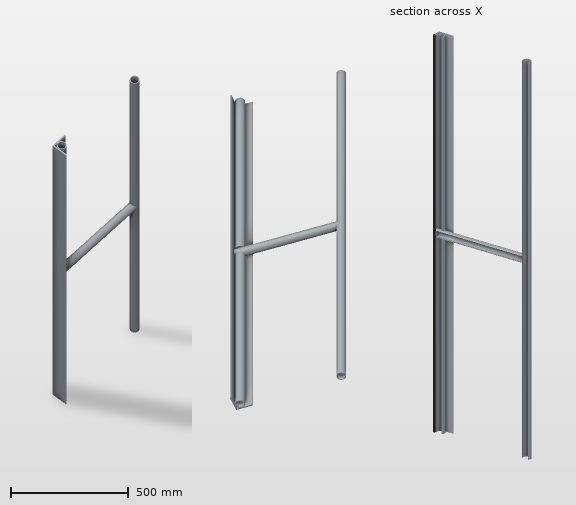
import cadquery as cq

height = 1829.0
depth = 508.0

leg = 77.0
leg_thickness = 6.8
toe_radius = 6.4 / 2

pipe_diameter = 42.0
bore_diameter = 35.0
rail_diameter = 40.0
pipe_radius = pipe_diameter / 2
rail_radius = rail_diameter / 2

pipe_x = leg_thickness + pipe_radius
front_pipe_y = leg_thickness + pipe_radius
rear_pipe_y = depth - pipe_radius
rail_z = height / 2
stub_length = rail_z - rail_radius


def make_angle_post():
    """L-section post with its outer corner on the Z axis and rounded inner toes."""
    outline = [
        (0, 0),
        (leg, 0),
        (leg, leg_thickness),
        (leg_thickness, leg_thickness),
        (leg_thickness, leg),
        (0, leg),
    ]
    post = cq.Workplane("XY").polyline(outline).close().extrude(height)
    inner_toe_edges = cq.selectors.BoxSelector(
        (leg - toe_radius, leg_thickness - toe_radius, 0),
        (leg + toe_radius, leg_thickness + toe_radius, height),
    ) + cq.selectors.BoxSelector(
        (leg_thickness - toe_radius, leg - toe_radius, 0),
        (leg_thickness + toe_radius, leg + toe_radius, height),
    )
    return post.edges("|Z").edges(inner_toe_edges).fillet(toe_radius)


def make_upright_pipe(y, bottom, length):
    """Vertical pipe centred at the given Y and starting at the given height."""
    return (
        cq.Workplane("XY", origin=(pipe_x, y, bottom))
        .circle(pipe_radius)
        .circle(bore_diameter / 2)
        .extrude(length)
    )


def make_cross_rail():
    """Horizontal pipe from the front leg to the rear pipe, with a saddle-cut rear end."""
    rail = (
        cq.Workplane("XZ", origin=(pipe_x, rear_pipe_y, rail_z))
        .circle(rail_radius)
        .circle(bore_diameter / 2)
        .extrude(rear_pipe_y - leg_thickness)
    )
    saddle = cq.Workplane("XY").center(pipe_x, rear_pipe_y).circle(pipe_radius).extrude(height)
    return rail.cut(saddle)


angle_post = make_angle_post()
rear_pipe = make_upright_pipe(rear_pipe_y, 0, height)
cross_rail = make_cross_rail()

stub_pipes = []
for stub_bottom in (0, rail_z + rail_radius):
    stub_pipes.append(make_upright_pipe(front_pipe_y, stub_bottom, stub_length))

result = cq.Compound.makeCompound(
    [
        angle_post.val(),
        rear_pipe.val(),
        cross_rail.val(),
        *[stub.val() for stub in stub_pipes],
    ]
)